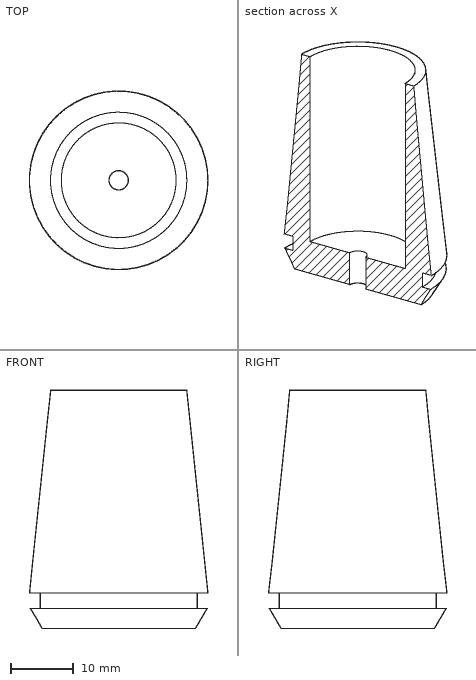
import cadquery as cq

height = 38.0
base_radius = 14.25
top_radius = 10.85

foot_bottom_radius = 12.25
foot_top_radius = 14.15
foot_height = 3.23
groove_radius = 12.55
groove_top = 5.62

bore_radius = 9.15
floor_thickness = groove_top
bore_depth = height - floor_thickness
hole_radius = 1.52

body = (
    cq.Workplane("XZ")
    .lineTo(foot_bottom_radius, 0)
    .lineTo(foot_top_radius, foot_height)
    .lineTo(groove_radius, foot_height)
    .lineTo(groove_radius, groove_top)
    .lineTo(base_radius, groove_top)
    .lineTo(top_radius, height)
    .lineTo(0, height)
    .close()
    .revolve(360, (0, 0, 0), (0, 1, 0))
)

bore = cq.Workplane("XY").workplane(offset=floor_thickness).circle(bore_radius).extrude(bore_depth)
through_hole = cq.Workplane("XY").circle(hole_radius).extrude(height)

result = body.cut(bore).cut(through_hole)